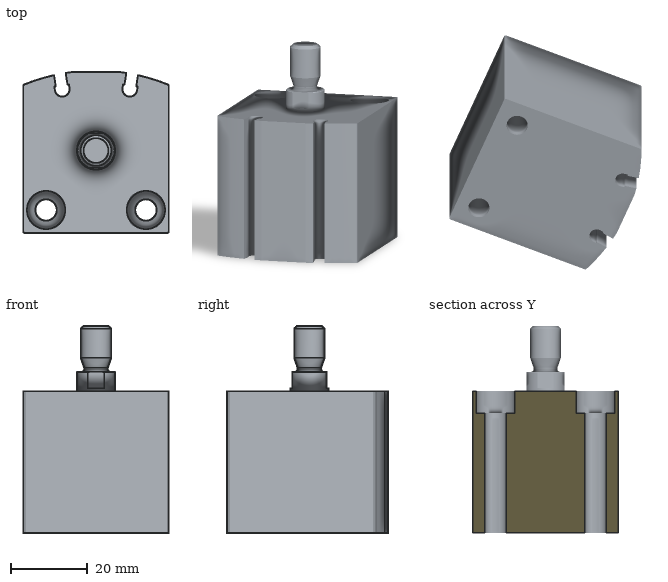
import cadquery as cq
import math

width = 38.0
depth = 42.0
housing_height = 37.0
back_y = 20.5
front_y = back_y - depth
corner_radius = 0.5

crown_radius = 50.0
crown_flat_half_width = 5.95

hole_spacing = 26.05
hole_y = -15.5
hole_diameter = 5.5
counterbore_diameter = 10.0
counterbore_depth = 5.7

slot_x = 8.8
slot_y = 16.0
slot_diameter = 3.8
slot_ledge_distance = 0.95
slot_mouth_width = 3.0
slot_tilt = 9.0

overall_height = 54.0
rod_height = overall_height - housing_height
stud_radius = 8.0 / 2
stud_chamfer = 0.75
stud_bottom = 8.65
neck_radius = 6.2 / 2
neck_top = 6.1
neck_fillet = 0.65
collar_radius = 10.0 / 2
collar_height = 5.0
collar_chamfer = 0.15
flat_distance = 9.0
flat_bottom = 0.75


def make_blank():
    """Block with a crowned back face and rounded vertical corners."""
    half_width = width / 2
    crown_center_y = back_y - math.sqrt(crown_radius**2 - crown_flat_half_width**2)

    def crown_y(x):
        return crown_center_y + math.sqrt(crown_radius**2 - x**2)

    shoulder_y = crown_y(half_width)
    arc_mid_x = (half_width + crown_flat_half_width) / 2
    arc_mid_y = crown_y(arc_mid_x)
    return (
        cq.Workplane("XY")
        .moveTo(-half_width, front_y)
        .lineTo(half_width, front_y)
        .lineTo(half_width, shoulder_y)
        .threePointArc((arc_mid_x, arc_mid_y), (crown_flat_half_width, back_y))
        .lineTo(-crown_flat_half_width, back_y)
        .threePointArc((-arc_mid_x, arc_mid_y), (-half_width, shoulder_y))
        .close()
        .extrude(housing_height)
        .edges("|Z and (<X or >X)")
        .fillet(corner_radius)
    )


def make_slot(side):
    """Cutter for one sensor slot; side is +1 or -1, and the mouth leans outward in X."""
    mouth_length = 2 * (back_y - slot_y)
    channel = cq.Workplane("XY").circle(slot_diameter / 2).extrude(housing_height)
    throat = (
        cq.Workplane("XY")
        .center(0, slot_ledge_distance / 2)
        .rect(slot_diameter, slot_ledge_distance)
        .extrude(housing_height)
    )
    mouth = (
        cq.Workplane("XY")
        .center(0, mouth_length / 2)
        .rect(slot_mouth_width, mouth_length)
        .extrude(housing_height)
    )
    return (
        channel.union(throat)
        .union(mouth)
        .rotate((0, 0, 0), (0, 0, 1), -side * slot_tilt)
        .translate((side * slot_x, slot_y, 0))
    )


def make_housing():
    housing = (
        make_blank()
        .faces(">Z")
        .workplane(origin=(0, 0, housing_height))
        .pushPoints([(-hole_spacing / 2, hole_y), (hole_spacing / 2, hole_y)])
        .cboreHole(hole_diameter, counterbore_diameter, counterbore_depth)
    )
    for side in (-1, 1):
        housing = housing.cut(make_slot(side))
    return housing


def make_rod():
    """Turned rod standing on the housing, with two wrench flats on its collar."""
    fillet_offset = neck_fillet * (1 - math.sqrt(0.5))
    rod = (
        cq.Workplane("XZ")
        .moveTo(0, 0)
        .lineTo(collar_radius, 0)
        .lineTo(collar_radius, collar_height - collar_chamfer)
        .lineTo(collar_radius - collar_chamfer, collar_height)
        .lineTo(neck_radius + neck_fillet, collar_height)
        .threePointArc(
            (neck_radius + fillet_offset, collar_height + fillet_offset),
            (neck_radius, collar_height + neck_fillet),
        )
        .lineTo(neck_radius, neck_top)
        .lineTo(stud_radius, stud_bottom)
        .lineTo(stud_radius, rod_height - stud_chamfer)
        .lineTo(stud_radius - stud_chamfer, rod_height)
        .lineTo(0, rod_height)
        .close()
        .revolve(360, (0, 0, 0), (0, 1, 0))
    )
    flat_depth = collar_radius - flat_distance / 2
    flat_height = collar_height - flat_bottom
    for side in (-1, 1):
        flat_cutter = (
            cq.Workplane("XY")
            .box(2 * collar_radius, flat_depth, flat_height, centered=(True, True, False))
            .translate((0, side * (flat_distance + flat_depth) / 2, flat_bottom))
        )
        rod = rod.cut(flat_cutter)
    return rod.translate((0, 0, housing_height))


housing = make_housing()
rod = make_rod()

result = cq.Compound.makeCompound([housing.val(), rod.val()])